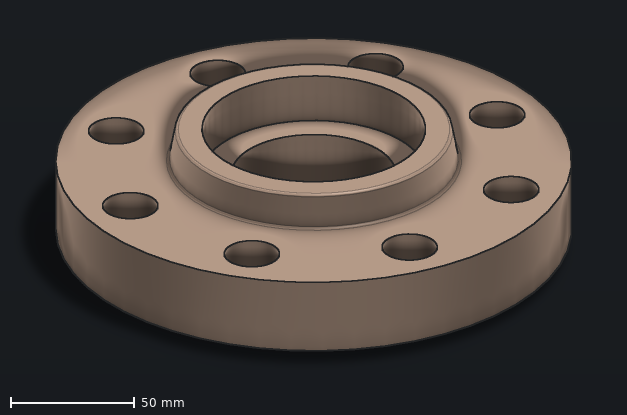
import cadquery as cq

flange_diameter = 209.5
flange_thickness = 31.6

face_diameter = 127.2
face_height = 6.3

hub_height = 14.5
hub_base_diameter = 117.7
hub_top_diameter = 112.3
hub_fillet = 1.3

bore_diameter = 66.6
socket_diameter = 90.7
socket_depth = 20.5

bolt_count = 8
bolt_circle_diameter = 168.0
bolt_hole_diameter = 22.5

plate_bottom = face_height
plate_top = plate_bottom + flange_thickness
total_height = plate_top + hub_height


def cylinder(diameter, bottom, height):
    """Solid cylinder on the Z axis, starting at the given height."""
    return cq.Workplane("XY").workplane(offset=bottom).circle(diameter / 2).extrude(height)


def tapered_hub():
    """Truncated cone standing on the plate."""
    return (
        cq.Workplane("XY")
        .workplane(offset=plate_top)
        .circle(hub_base_diameter / 2)
        .workplane(offset=hub_height)
        .circle(hub_top_diameter / 2)
        .loft(combine=True)
    )


def bolt_holes():
    """Through holes evenly spaced on the bolt circle, the first one on +X."""
    return (
        cq.Workplane("XY")
        .polarArray(bolt_circle_diameter / 2, 0, 360, bolt_count)
        .circle(bolt_hole_diameter / 2)
        .extrude(total_height)
    )


def hub_edges(solid):
    """Circular edges at the root and the rim of the hub."""
    reach = hub_base_diameter / 2 + hub_fillet
    hub_region = cq.selectors.BoxSelector(
        (-reach, -reach, plate_top - hub_fillet),
        (reach, reach, total_height + hub_fillet),
        boundingbox=True,
    )
    return solid.edges("%CIRCLE").edges(hub_region)


body = cylinder(face_diameter, 0, face_height)
body = body.union(cylinder(flange_diameter, plate_bottom, flange_thickness))
body = body.union(tapered_hub())
body = hub_edges(body).fillet(hub_fillet)

body = body.cut(cylinder(bore_diameter, 0, total_height))
body = body.cut(cylinder(socket_diameter, total_height - socket_depth, socket_depth))
result = body.cut(bolt_holes())